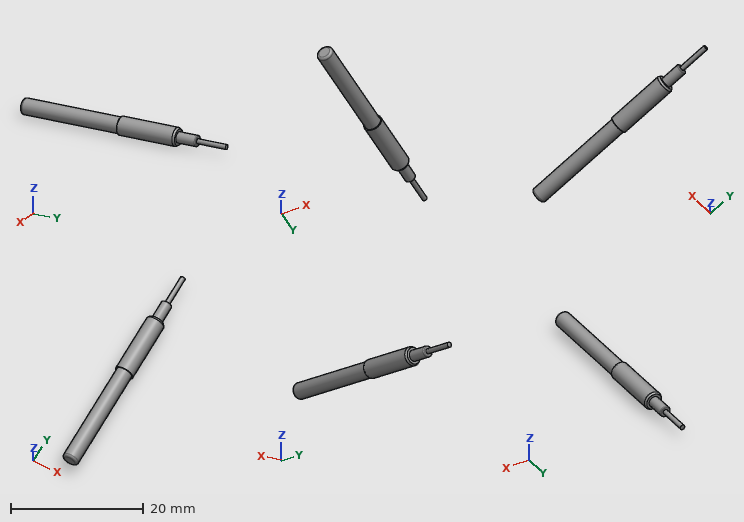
import cadquery as cq
total_length = 35.3

barrel_length = 16.98
sleeve_length = 10.0
collar_length = 3.32

barrel_diameter = 2.6
sleeve_diameter = 3.0
collar_diameter = 1.75
wire_diameter = 0.8

tip_fillet = 0.4
sleeve_chamfer_axial = 0.35
sleeve_chamfer_radial = 0.2
collar_fillet = 0.15

barrel_end = barrel_length
sleeve_end = barrel_end + sleeve_length
collar_end = sleeve_end + collar_length


def rod(diameter, start, end):
    """Round section along the Y axis between two Y positions."""
    return (
        cq.Workplane("XZ", origin=(0, start, 0))
        .circle(diameter / 2)
        .extrude(start - end)
    )


barrel = rod(barrel_diameter, 0, barrel_end).faces("<Y").edges().fillet(tip_fillet)

sleeve = (
    rod(sleeve_diameter, barrel_end, sleeve_end)
    .faces(">Y")
    .edges()
    .chamfer(sleeve_chamfer_axial, sleeve_chamfer_radial)
)

collar = rod(collar_diameter, sleeve_end, collar_end).faces(">Y").edges().fillet(collar_fillet)

wire = rod(wire_diameter, collar_end, total_length)

result = barrel.union(sleeve).union(collar).union(wire)